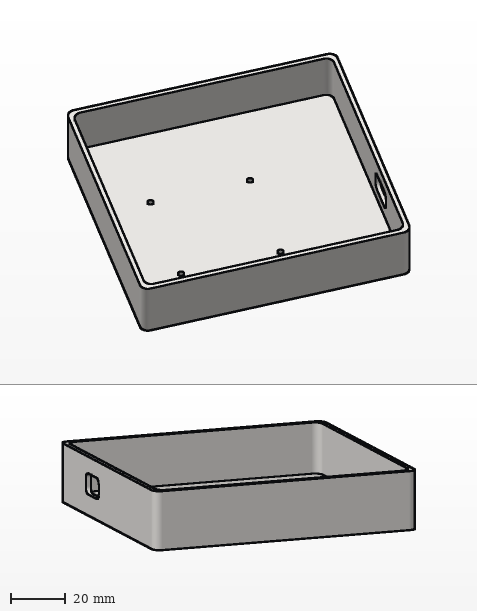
import cadquery as cq

width = 95.0
length = 103.0
height = 22.0
wall = 2.0
floor_thickness = 3.0
outer_radius = 3.0
inner_radius = 3.0

hole_diameter = 2.3
hole_spacing = 38.0
hole_center_x = 7.0
hole_center_y = -11.0

opening_width = 13.0
opening_height = 7.8
opening_radius = 2.3
opening_center_x = 15.2
opening_center_z = 11.8


def rounded_block(size_x, size_y, size_z, radius):
    """Block standing on Z = 0 with rounded vertical edges."""
    block = cq.Workplane("XY").box(size_x, size_y, size_z, centered=(True, True, False))
    return block.edges("|Z").fillet(radius)


def tray():
    outside = rounded_block(width, length, height, outer_radius)
    cavity = rounded_block(width - 2 * wall, length - 2 * wall, height - floor_thickness, inner_radius)
    return outside.cut(cavity.translate((0, 0, floor_thickness)))


def mounting_holes():
    return (
        cq.Workplane("XY")
        .center(hole_center_x, hole_center_y)
        .rect(hole_spacing, hole_spacing, forConstruction=True)
        .vertices()
        .circle(hole_diameter / 2)
        .extrude(floor_thickness)
    )


def cable_opening():
    return (
        cq.Workplane("XY")
        .box(opening_width, wall, opening_height)
        .edges("|Y")
        .fillet(opening_radius)
        .translate((opening_center_x, (length - wall) / 2, opening_center_z))
    )


result = tray().cut(mounting_holes()).cut(cable_opening())